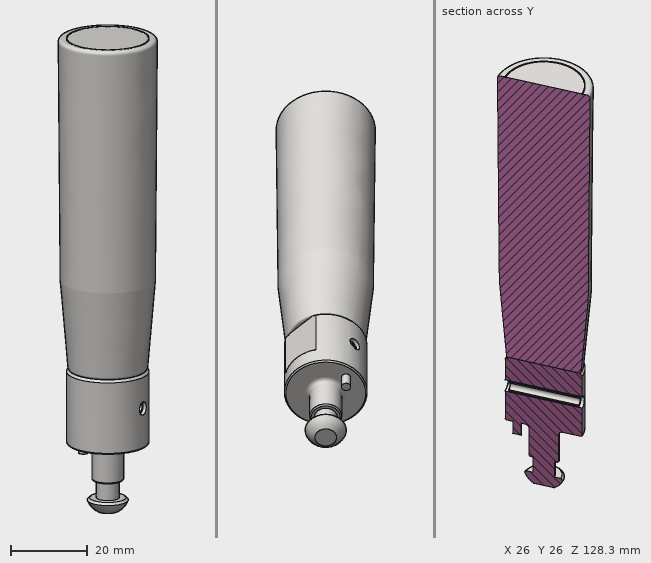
import cadquery as cq

TOTAL_HEIGHT = 128.3

GRIP_BASE_Z = 38.5
GRIP_WAIST_Z = 62.6
GRIP_TOP_RADIUS = 13.0
GRIP_WAIST_RADIUS = 12.5
GRIP_BASE_RADIUS = 10.4
GRIP_TOP_FILLET = 1.0
GRIP_BASE_FILLET = 0.6

GROOVE_DIAMETER = 21.5
GROOVE_WIDTH = 0.1
GROOVE_DEPTH = 0.3

COLLAR_BASE_Z = 18.3
COLLAR_DIAMETER = 21.5
COLLAR_TOP_CHAMFER = 0.6
COLLAR_BASE_CHAMFER = 0.4
FLAT_OFFSET = 9.2
FLAT_BASE_Z = 23.5

CROSS_PIN_Z = 29.4
CROSS_PIN_LENGTH = 19.5
CROSS_PIN_DIAMETER = 3.2
CROSS_PIN_BORE = 2.0
CROSS_PIN_SLOT = 0.4
CROSS_HOLE_DIAMETER = 3.5

LOCATING_PIN_DIAMETER = 2.5
LOCATING_PIN_OFFSET = 7.5
LOCATING_PIN_BASE_Z = 14.5

NECK_DIAMETER = 8.3
NECK_BASE_Z = 8.3
NECK_CHAMFER = 0.4
NECK_ROOT_FILLET = 1.2
STEM_DIAMETER = 6.0
HEAD_DIAMETER = 10.8
HEAD_TOP_DIAMETER = 9.5
HEAD_END_DIAMETER = 5.6
HEAD_HEIGHT = 3.6
HEAD_RIM_Z = 3.0
HEAD_BULGE = 0.3


def revolved(outline):
    """Solid of revolution about Z from a half outline in the XZ plane."""
    return outline.close().revolve(360, (0, 0, 0), (0, 1, 0))


def make_ring_groove():
    """Cutter for the ring groove."""
    outer_radius = GROOVE_DIAMETER / 2
    floor = cq.Workplane("XY").workplane(offset=TOTAL_HEIGHT - GROOVE_DEPTH)
    return floor.circle(outer_radius).circle(outer_radius - GROOVE_WIDTH).extrude(GROOVE_DEPTH)


def make_grip():
    """Slightly conical barrel on a tapered lower part, with a ring groove in its top."""
    outline = (
        cq.Workplane("XZ")
        .moveTo(0, GRIP_BASE_Z)
        .lineTo(GRIP_BASE_RADIUS, GRIP_BASE_Z)
        .lineTo(GRIP_WAIST_RADIUS, GRIP_WAIST_Z)
        .lineTo(GRIP_TOP_RADIUS, TOTAL_HEIGHT)
        .lineTo(0, TOTAL_HEIGHT)
    )
    grip = revolved(outline)
    grip = grip.faces(">Z").edges().fillet(GRIP_TOP_FILLET)
    grip = grip.faces("<Z").edges().fillet(GRIP_BASE_FILLET)
    return grip.cut(make_ring_groove())


def make_collar():
    """Chamfered cylinder with one flat on +Y that stops above a ledge."""
    height = GRIP_BASE_Z - COLLAR_BASE_Z
    collar = cq.Workplane("XY").workplane(offset=COLLAR_BASE_Z).circle(COLLAR_DIAMETER / 2).extrude(height)
    collar = collar.faces(">Z").edges().chamfer(COLLAR_TOP_CHAMFER)
    collar = collar.faces("<Z").edges().chamfer(COLLAR_BASE_CHAMFER)
    flat_cutter = cq.Workplane("XY").box(
        COLLAR_DIAMETER, COLLAR_DIAMETER, GRIP_BASE_Z - FLAT_BASE_Z, centered=(True, False, False)
    )
    return collar.cut(flat_cutter.translate((0, FLAT_OFFSET, FLAT_BASE_Z)))


def make_stem():
    """Neck with a flared root, thinner stem and a domed head, as one revolved shape."""
    neck_radius = NECK_DIAMETER / 2
    stem_radius = STEM_DIAMETER / 2
    rim_radius = HEAD_DIAMETER / 2
    end_radius = HEAD_END_DIAMETER / 2
    dome_mid = ((rim_radius + end_radius) / 2 + HEAD_BULGE, HEAD_RIM_Z / 2 - HEAD_BULGE)
    outline = (
        cq.Workplane("XZ")
        .lineTo(end_radius, 0)
        .threePointArc(dome_mid, (rim_radius, HEAD_RIM_Z))
        .lineTo(HEAD_TOP_DIAMETER / 2, HEAD_HEIGHT)
        .lineTo(stem_radius, HEAD_HEIGHT)
        .lineTo(stem_radius, NECK_BASE_Z)
        .lineTo(neck_radius - NECK_CHAMFER, NECK_BASE_Z)
        .lineTo(neck_radius, NECK_BASE_Z + NECK_CHAMFER)
        .lineTo(neck_radius, COLLAR_BASE_Z - NECK_ROOT_FILLET)
        .radiusArc((neck_radius + NECK_ROOT_FILLET, COLLAR_BASE_Z), NECK_ROOT_FILLET)
        .lineTo(0, COLLAR_BASE_Z)
    )
    return revolved(outline)


def make_locating_pin():
    """Short pin standing out of the collar base on the -X side."""
    pin_base = cq.Workplane("XY").workplane(offset=LOCATING_PIN_BASE_Z)
    pin = pin_base.center(-LOCATING_PIN_OFFSET, 0).circle(LOCATING_PIN_DIAMETER / 2)
    return pin.extrude(COLLAR_BASE_Z - LOCATING_PIN_BASE_Z)


def cross_rod(diameter, length):
    """Cylinder along X at the height of the cross pin."""
    return cq.Workplane("YZ").center(0, CROSS_PIN_Z).circle(diameter / 2).extrude(length / 2, both=True)


def make_cross_pin():
    """Hollow pin split along its -Y side."""
    pin = cross_rod(CROSS_PIN_DIAMETER, CROSS_PIN_LENGTH).cut(cross_rod(CROSS_PIN_BORE, CROSS_PIN_LENGTH))
    slot = cq.Workplane("XY").box(CROSS_PIN_LENGTH, CROSS_PIN_DIAMETER, CROSS_PIN_SLOT)
    return pin.cut(slot.translate((0, -CROSS_PIN_DIAMETER / 2, CROSS_PIN_Z)))


def make_spindle():
    """Collar, stem and locating pin in one piece, with the hole for the cross pin."""
    spindle = make_collar().union(make_stem()).union(make_locating_pin())
    return spindle.cut(cross_rod(CROSS_HOLE_DIAMETER, 2 * COLLAR_DIAMETER))


grip = make_grip()
spindle = make_spindle()
cross_pin = make_cross_pin()

result = cq.Compound.makeCompound([grip.val(), spindle.val(), cross_pin.val()])